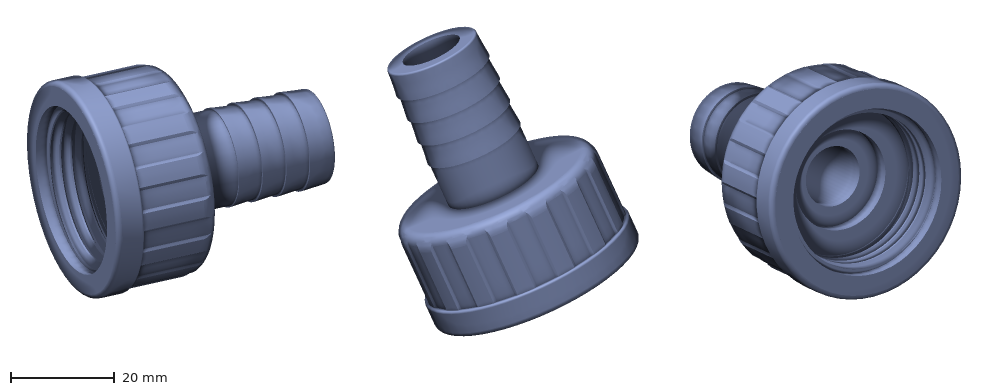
import cadquery as cq
import math

TOTAL_LENGTH = 51.6

NUT_LENGTH = 21.7
NUT_DIAMETER = 41.05
NUT_REAR_FILLET = 2.0
COLLAR_DIAMETER = 43.0
COLLAR_LENGTH = 5.8
COLLAR_FRONT_FILLET = 1.05
COLLAR_REAR_FILLET = 0.45

RIB_COUNT = 15
RIB_TIP_RADIUS = 20.9
RIB_TIP_WIDTH = 3.6
RIB_ROOT_WIDTH = 4.7
RIB_ROOT_DEPTH = 3.1
RIB_REAR_START = 18.7
RIB_REAR_RADIUS = 3.5
RIB_REAR_END = 21.15

MOUTH_DIAMETER = 33.25
MOUTH_DEPTH = 2.2
THREAD_MAJOR_DIAMETER = 33.15
THREAD_MINOR_DIAMETER = 30.3
THREAD_PITCH = 2.31
THREAD_ANGLE = 55.0
THREAD_ROOT_FLAT = 0.45
THREAD_OVERLAP = 0.1

GASKET_FRONT = 10.0
GASKET_THICKNESS = 3.0
GASKET_DIAMETER = 30.0
GASKET_HOLE_DIAMETER = 20.0
GASKET_REAR = GASKET_FRONT + GASKET_THICKNESS

TAIL_BORE_DIAMETER = 12.0
TUBE_DIAMETER = 19.0
FLANGE_DIAMETER = 27.5
FLANGE_THICKNESS = 4.0
FLANGE_REAR = GASKET_REAR + FLANGE_THICKNESS
BARB_COUNT = 4
BARB_PITCH = 5.0
BARB_START = 31.0
BARB_LARGE_DIAMETER = 19.6
BARB_SMALL_DIAMETER = 18.7
TIP_FILLET = 0.4


def cylinder(diameter, y_start, y_end):
    """Solid cylinder on the Y axis between two stations."""
    return (
        cq.Workplane("XZ", origin=(0, y_start, 0))
        .circle(diameter / 2)
        .extrude(y_start - y_end)
    )


def turned(outline):
    """Revolve a closed (radius, y) outline about the Y axis."""
    return outline.close().revolve(360, (0, 0, 0), (0, 1, 0))


def make_grip_ribs():
    """Tapered ribs, rounded inwards at the rear, one of them pointing to -Z."""
    root_radius = NUT_DIAMETER / 2
    inner_radius = root_radius - RIB_ROOT_DEPTH
    flank_run = (RIB_ROOT_WIDTH - RIB_TIP_WIDTH) / 2
    root_height = math.sqrt(root_radius**2 - (RIB_ROOT_WIDTH / 2) ** 2)
    tip_height = math.sqrt(RIB_TIP_RADIUS**2 - (RIB_TIP_WIDTH / 2) ** 2)
    flank_rise = tip_height - root_height
    peak_height = tip_height + flank_rise
    peak_half_width = RIB_TIP_WIDTH / 2 - flank_run

    rear_drop = RIB_REAR_END - RIB_REAR_START
    rear_radius = RIB_TIP_RADIUS - RIB_REAR_RADIUS + math.sqrt(RIB_REAR_RADIUS**2 - rear_drop**2)
    envelope = turned(
        cq.Workplane("XY")
        .moveTo(0, COLLAR_LENGTH / 2)
        .lineTo(RIB_TIP_RADIUS, COLLAR_LENGTH / 2)
        .lineTo(RIB_TIP_RADIUS, RIB_REAR_START)
        .tangentArcPoint((rear_radius, RIB_REAR_END), relative=False)
        .lineTo(0, RIB_REAR_END)
    )
    rib = (
        cq.Workplane("XZ")
        .polyline([
            (-RIB_ROOT_WIDTH / 2, -inner_radius),
            (-RIB_ROOT_WIDTH / 2, -root_height),
            (-peak_half_width, -peak_height),
            (peak_half_width, -peak_height),
            (RIB_ROOT_WIDTH / 2, -root_height),
            (RIB_ROOT_WIDTH / 2, -inner_radius),
        ])
        .close()
        .extrude(-NUT_LENGTH)
        .intersect(envelope)
    )
    step = 360 / RIB_COUNT
    return [rib.rotate((0, 0, 0), (0, 1, 0), i * step) for i in range(RIB_COUNT)]


def make_thread_groove():
    """Right-handed V groove from inside the mouth to the gasket."""
    minor_radius = THREAD_MINOR_DIAMETER / 2
    major_radius = THREAD_MAJOR_DIAMETER / 2
    inner_radius = minor_radius - THREAD_OVERLAP
    root_half = THREAD_ROOT_FLAT / 2
    mouth_half = root_half + (major_radius - inner_radius) * math.tan(math.radians(THREAD_ANGLE / 2))
    helix_length = GASKET_FRONT - MOUTH_DEPTH + 2 * THREAD_PITCH
    helix = cq.Wire.makeHelix(THREAD_PITCH, helix_length, minor_radius)
    groove = (
        cq.Workplane("XZ")
        .polyline([
            (inner_radius, -mouth_half),
            (major_radius, -root_half),
            (major_radius, root_half),
            (inner_radius, mouth_half),
        ])
        .close()
        .sweep(cq.Workplane(helix), isFrenet=True)
        .rotate((0, 0, 0), (1, 0, 0), -90)
        .translate((0, MOUTH_DEPTH - THREAD_PITCH, 0))
    )
    return groove.intersect(cylinder(COLLAR_DIAMETER, MOUTH_DEPTH - THREAD_PITCH / 2, GASKET_FRONT))


def make_nut():
    """Ribbed union nut with a collar, a stepped bore and an internal thread."""
    nut = cylinder(NUT_DIAMETER, 0, NUT_LENGTH).faces(">Y").edges().fillet(NUT_REAR_FILLET)
    for rib in make_grip_ribs():
        nut = nut.union(rib)
    collar = cylinder(COLLAR_DIAMETER, 0, COLLAR_LENGTH)
    collar = collar.faces("<Y").edges().fillet(COLLAR_FRONT_FILLET)
    collar = collar.faces(">Y").edges().fillet(COLLAR_REAR_FILLET)
    nut = nut.union(collar)
    nut = nut.cut(cylinder(THREAD_MINOR_DIAMETER, 0, GASKET_REAR))
    nut = nut.cut(cylinder(FLANGE_DIAMETER, 0, FLANGE_REAR))
    nut = nut.cut(cylinder(TUBE_DIAMETER, 0, NUT_LENGTH))
    nut = nut.cut(make_thread_groove())
    return nut.cut(cylinder(MOUTH_DIAMETER, 0, MOUTH_DEPTH))


def make_gasket():
    """Flat ring between the thread and the tail flange."""
    disc = cylinder(GASKET_DIAMETER, GASKET_FRONT, GASKET_REAR)
    return disc.cut(cylinder(GASKET_HOLE_DIAMETER, GASKET_FRONT, GASKET_REAR))


def make_hose_tail():
    """Flanged tube whose rear end carries conical barbs."""
    outline = (
        cq.Workplane("XY")
        .moveTo(0, GASKET_REAR)
        .lineTo(FLANGE_DIAMETER / 2, GASKET_REAR)
        .lineTo(FLANGE_DIAMETER / 2, FLANGE_REAR)
        .lineTo(TUBE_DIAMETER / 2, FLANGE_REAR)
        .lineTo(TUBE_DIAMETER / 2, BARB_START)
    )
    for i in range(BARB_COUNT):
        barb_base = BARB_START + i * BARB_PITCH
        is_last = i == BARB_COUNT - 1
        barb_end = TOTAL_LENGTH if is_last else barb_base + BARB_PITCH
        outline = outline.lineTo(BARB_LARGE_DIAMETER / 2, barb_base)
        outline = outline.lineTo(BARB_SMALL_DIAMETER / 2, barb_end)
    tail = turned(outline.lineTo(0, TOTAL_LENGTH))
    tail = tail.faces(">Y").edges().fillet(TIP_FILLET)
    return tail.cut(cylinder(TAIL_BORE_DIAMETER, GASKET_REAR, TOTAL_LENGTH))


nut = make_nut()
gasket = make_gasket()
hose_tail = make_hose_tail()

result = cq.Compound.makeCompound([nut.val(), gasket.val(), hose_tail.val()])